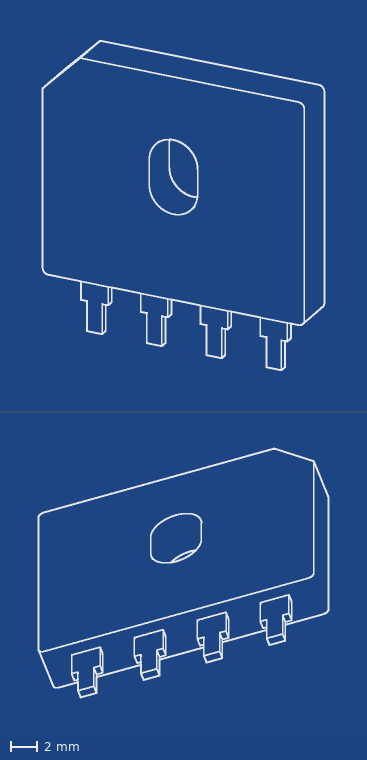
import cadquery as cq

total_height = 23.9
body_width = 22.3
body_thickness = 3.55
lead_length = 5.07
body_height = total_height - lead_length

polarity_chamfer = 3.2
corner_radius = 0.5

slot_width = 4.1
slot_height = 6.25
slot_centre_drop = 8.45

lead_count = 4
lead_pitch = 5.1
lead_thickness = 0.67
lead_back_offset = 0.45
shoulder_width = 2.32
shoulder_length = 2.53
tip_width = 1.3
lead_embed = 0.48


def make_body():
    """Upright slab standing on Z = 0, centred in X and Y."""
    body = cq.Workplane("XY").box(
        body_width, body_thickness, body_height, centered=(True, True, False)
    )
    body = body.edges("<X and >Z").chamfer(polarity_chamfer)
    body = body.edges("|Y and (>X or (<X and <Z))").fillet(corner_radius)
    return body


def make_slot():
    """Cutter for the round-ended slot through the whole thickness."""
    return (
        cq.Workplane("XZ")
        .center(0, body_height - slot_centre_drop)
        .slot2D(slot_height, slot_width, 90)
        .extrude(body_thickness, both=True)
    )


def make_lead(x):
    """Stepped lead hanging below the body, centred at the given X."""
    shoulder = cq.Workplane("XY").box(
        shoulder_width, lead_thickness, shoulder_length + lead_embed, centered=(True, True, False)
    ).translate((x, lead_back_offset, -shoulder_length))
    tip = cq.Workplane("XY").box(
        tip_width, lead_thickness, lead_length, centered=(True, True, False)
    ).translate((x, lead_back_offset, -lead_length))
    return shoulder.union(tip)


result = make_body().cut(make_slot())
for index in range(lead_count):
    lead_x = (index - (lead_count - 1) / 2) * lead_pitch
    result = result.union(make_lead(lead_x))